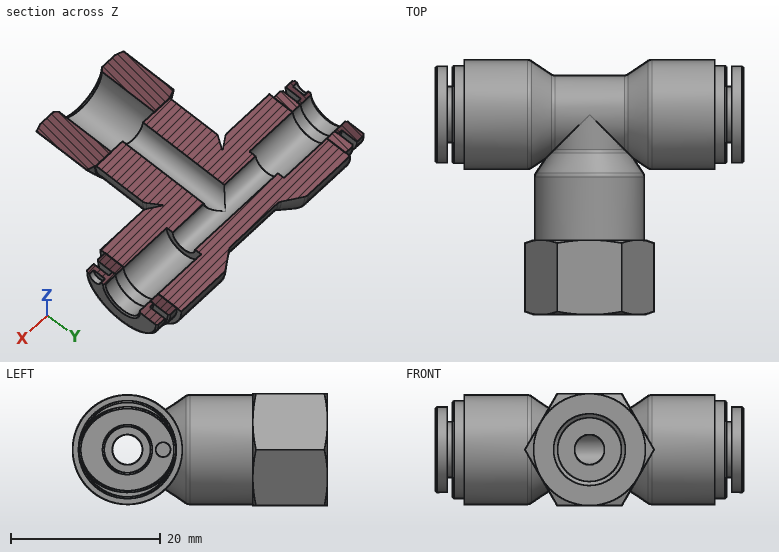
import cadquery as cq
import math

BARREL_R = 14.7 / 2
NECK_R = 5.25
ARM_END = 16.8
NECK_BLEND = 4.9
BARREL_BLEND = 8.05
BLEND_R = 0.9
PASSAGE_D = 4.0
TUBE_D = 6.2
TUBE_STOP = 8.25

RING_D = 13.15
RING_END = 18.38
RING_CHAMFER = 0.25

CAP_END = 20.65
CAP_BACK = 19.05
CAP_LENGTH_Y = 12.95
CAP_HEIGHT_Z = 11.5
CAP_CHAMFER = 0.25
SLEEVE_NECK_D = 7.5
MOUTH_CHAMFER = 0.25
DIMPLE_D = 2.0
DIMPLE_OFFSET = 4.8
DIMPLE_DEPTH = 0.83

NUT_FLATS = 15.0
NUT_LENGTH = 10.0
NUT_BORE_D = 8.55
NUT_BORE_CHAMFER = 0.55
NUT_CORNER_DROP = 0.4


def run_plane(x):
    """Sketch plane facing +X at the given distance from the tee centre."""
    return cq.Workplane("YZ", origin=(x, 0, 0))


def branch_plane(distance):
    """Sketch plane facing -Y at the given distance from the tee centre."""
    return cq.Workplane("XZ", origin=(0, -distance, 0))


def make_arm():
    """Solid arm along +X: neck, blended shoulder cone and barrel."""
    arm = (
        cq.Workplane("XY")
        .lineTo(0, NECK_R)
        .lineTo(NECK_BLEND, NECK_R)
        .lineTo(BARREL_BLEND, BARREL_R)
        .lineTo(ARM_END, BARREL_R)
        .lineTo(ARM_END, 0)
        .close()
        .revolve(360, (0, 0, 0), (1, 0, 0))
    )
    cone_edges = arm.faces("%CONE").edges("%CIRCLE")
    return cone_edges.fillet(BLEND_R)


def make_housing():
    """Tee of three equal arms with tube sockets on the run and a crossing passage."""
    arm = make_arm()
    left_arm = arm.mirror("YZ")
    branch = arm.rotate((0, 0, 0), (0, 0, 1), -90)
    housing = arm.union(left_arm).union(branch)

    run_passage = run_plane(-ARM_END).circle(PASSAGE_D / 2).extrude(2 * ARM_END)
    branch_passage = branch_plane(0).circle(PASSAGE_D / 2).extrude(ARM_END)
    socket = run_plane(TUBE_STOP).circle(TUBE_D / 2).extrude(ARM_END - TUBE_STOP)
    return (
        housing.cut(run_passage)
        .cut(branch_passage)
        .cut(socket)
        .cut(socket.mirror("YZ"))
    )


def make_guide_ring():
    """Guide ring seated on the +X end face of the housing."""
    return (
        run_plane(ARM_END)
        .circle(RING_D / 2)
        .extrude(RING_END - ARM_END)
        .faces(">X").edges().chamfer(RING_CHAMFER)
        .faces(">X").workplane()
        .hole(TUBE_D)
    )


def make_release_sleeve():
    """Release sleeve against the +X guide ring: neck, oval cap and dimple."""
    neck = run_plane(RING_END).circle(SLEEVE_NECK_D / 2).extrude(CAP_BACK - RING_END)
    cap = (
        run_plane(CAP_BACK)
        .ellipse(CAP_LENGTH_Y / 2, CAP_HEIGHT_Z / 2)
        .extrude(CAP_END - CAP_BACK)
        .faces(">X").edges().chamfer(CAP_CHAMFER)
    )
    bore = run_plane(RING_END).circle(TUBE_D / 2).extrude(CAP_END - RING_END)
    dimple = (
        run_plane(CAP_END)
        .center(-DIMPLE_OFFSET, 0)
        .circle(DIMPLE_D / 2)
        .extrude(-DIMPLE_DEPTH)
    )
    sleeve = neck.union(cap).cut(bore)
    sleeve = sleeve.faces(">X").edges("%CIRCLE").chamfer(MOUTH_CHAMFER)
    return sleeve.cut(dimple)


def make_nut():
    """Hexagonal nut on the branch end, corners chamfered at both ends."""
    corner_r = NUT_FLATS / 2 / math.cos(math.pi / 6)
    flat_r = NUT_FLATS / 2
    nut = branch_plane(ARM_END).polygon(6, 2 * corner_r).extrude(NUT_LENGTH)

    near_end = -ARM_END
    far_end = -(ARM_END + NUT_LENGTH)
    corner_envelope = (
        cq.Workplane("XY")
        .moveTo(0, near_end)
        .lineTo(flat_r, near_end)
        .lineTo(corner_r, near_end - NUT_CORNER_DROP)
        .lineTo(corner_r, far_end + NUT_CORNER_DROP)
        .lineTo(flat_r, far_end)
        .lineTo(0, far_end)
        .close()
        .revolve(360, (0, 0, 0), (0, 1, 0))
    )
    bore = branch_plane(ARM_END).circle(NUT_BORE_D / 2).extrude(NUT_LENGTH)
    nut = nut.intersect(corner_envelope).cut(bore)
    bore_mouth = cq.selectors.RadiusNthSelector(0)
    return nut.faces("<Y").edges("%CIRCLE").edges(bore_mouth).chamfer(NUT_BORE_CHAMFER)


housing = make_housing()
nut = make_nut()

run_fittings = []
for fitting in (make_guide_ring(), make_release_sleeve()):
    run_fittings.append(fitting.val())
    run_fittings.append(fitting.mirror("YZ").val())

result = cq.Compound.makeCompound([housing.val(), nut.val(), *run_fittings])